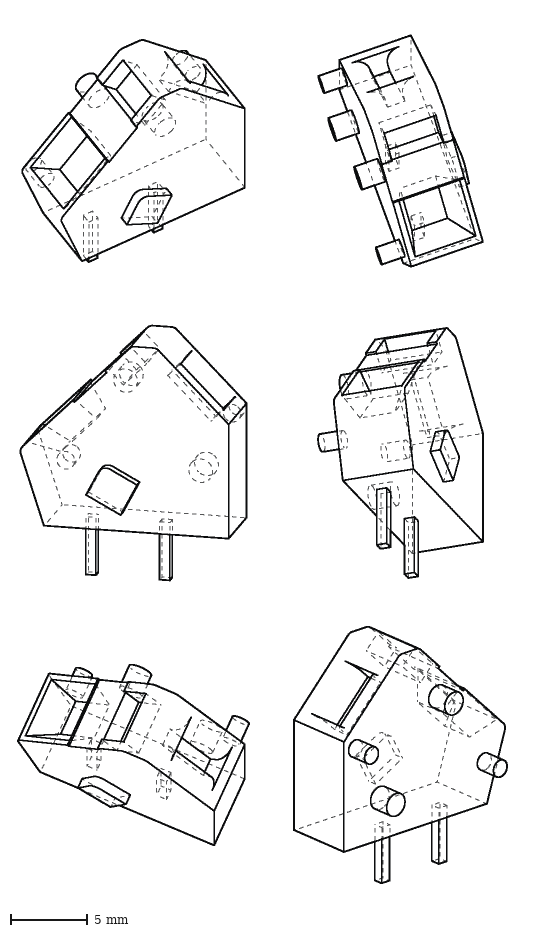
import cadquery as cq
import math

WIDTH = 5.0
HEIGHT = 12.72
DEPTH = 14.09
BACK_HEIGHT = 7.84
TOP_LENGTH = 1.67
FRONT_LEAN = math.radians(18)
EDGE_RADIUS = 0.5

BAND_START = 2.55
BAND_END = 5.63
BAND_DEPTH = 0.15

WINDOW_START = 0.33
WINDOW_LEFT = 0.72
WINDOW_WIDTH = 3.61
WINDOW_DEPTH = 1.5

FUNNEL_DEPTH = 2.0
FUNNEL_MOUTH = (0.42, 4.65, BAND_END, 10.11)
FUNNEL_FLOOR = (0.9, 3.38, 5.95, 9.34)

SLOT_START = 1.89
SLOT_END = 6.03
SLOT_DEPTH = 1.55
SLOT_CENTER = 2.3
SLOT_FLOOR_WIDTH = 1.22
SLOT_LIP_RADIUS = 1.0

PEG_LENGTH = 1.6
LARGE_PEG = 1.6
SMALL_PEG = 1.2
PEGS = [
    (8.2, 8.82, LARGE_PEG),
    (3.12, 3.0, LARGE_PEG),
    (1.0, 7.1, SMALL_PEG),
    (12.25, 3.07, SMALL_PEG),
]

BOSS_CORNER = (9.47, 2.54)
BOSS_TILT = 27.5
BOSS_LENGTH = 2.64
BOSS_HEIGHT = 2.4
BOSS_RADIUS = 0.57
BOSS_PROJECTION = 0.7

PIN_SIZE = 0.7
PIN_LENGTH = 16.71 - HEIGHT
PIN_X = 1.9
PIN_PITCH = 5.0
FIRST_PIN = 5.0

top_back = HEIGHT - BACK_HEIGHT
top_front = top_back + TOP_LENGTH
slope_sum = top_front + HEIGHT

nose_center_depth = DEPTH - EDGE_RADIUS
nose_center_height = slope_sum - EDGE_RADIUS * math.sqrt(2) - nose_center_depth
lean = math.tan(FRONT_LEAN)
bottom_front = (
    nose_center_depth + EDGE_RADIUS / math.cos(FRONT_LEAN) - nose_center_height * lean
)
nose_height = (slope_sum - bottom_front) / (1 + lean)

front_slope = cq.Plane(origin=(0, -top_front, HEIGHT), xDir=(1, 0, 0), normal=(0, -1, 1))
rear_slope = cq.Plane(origin=(0, -top_back, HEIGHT), xDir=(1, 0, 0), normal=(0, 1, 1))


def slope_box(plane, left, right, start, end, depth):
    """Box sunk into a slope; start and end are local Y positions."""
    return (
        cq.Workplane(plane)
        .moveTo((left + right) / 2, (start + end) / 2)
        .rect(right - left, abs(end - start))
        .extrude(-depth)
    )


def make_housing():
    corners = [
        (0, 0),
        (0, BACK_HEIGHT),
        (-top_back, HEIGHT),
        (-top_front, HEIGHT),
        (nose_height - slope_sum, nose_height),
        (-bottom_front, 0),
    ]
    housing = cq.Workplane("YZ").polyline(corners).close().extrude(WIDTH)
    for y, z in corners[2:5]:
        edge = cq.selectors.NearestToPointSelector((WIDTH / 2, y, z))
        housing = housing.edges("|X").edges(edge).fillet(EDGE_RADIUS)
    return housing


def make_funnel():
    def section(plane, bounds):
        left, right, upper, lower = bounds
        corners = [(left, -upper), (right, -upper), (right, -lower), (left, -lower)]
        points = [plane.toWorldCoords(corner) for corner in corners]
        return cq.Wire.makePolygon(points, close=True)

    floor_plane = cq.Plane(
        origin=front_slope.toWorldCoords((0, 0, -FUNNEL_DEPTH)),
        xDir=front_slope.xDir,
        normal=front_slope.zDir,
    )
    wires = [section(front_slope, FUNNEL_MOUTH), section(floor_plane, FUNNEL_FLOOR)]
    return cq.Workplane(cq.Solid.makeLoft(wires, True))


def make_slot():
    half_floor = SLOT_FLOOR_WIDTH / 2
    half_mouth = half_floor + SLOT_LIP_RADIUS
    lip_middle = SLOT_LIP_RADIUS * (1 - math.sqrt(0.5))
    section = cq.Plane(
        origin=rear_slope.toWorldCoords((SLOT_CENTER, SLOT_START, 0)),
        xDir=rear_slope.xDir,
        normal=rear_slope.yDir,
    )
    return (
        cq.Workplane(section)
        .moveTo(-half_mouth, 0)
        .threePointArc((-half_floor - lip_middle, lip_middle), (-half_floor, SLOT_LIP_RADIUS))
        .lineTo(-half_floor, SLOT_DEPTH)
        .lineTo(half_floor, SLOT_DEPTH)
        .lineTo(half_floor, SLOT_LIP_RADIUS)
        .threePointArc((half_floor + lip_middle, lip_middle), (half_mouth, 0))
        .close()
        .extrude(SLOT_END - SLOT_START)
    )


def make_boss():
    depth, height = BOSS_CORNER
    section = cq.Plane(origin=(WIDTH, -depth, height), xDir=(0, 1, 0), normal=(1, 0, 0))
    boss = (
        cq.Workplane(section)
        .rect(BOSS_LENGTH, BOSS_HEIGHT, centered=False)
        .extrude(BOSS_PROJECTION)
        .edges("<Y and >Z")
        .fillet(BOSS_RADIUS)
    )
    pivot = section.origin
    return boss.rotate(pivot, pivot + section.zDir, -BOSS_TILT)


result = make_housing()
result = result.cut(slope_box(front_slope, 0, WIDTH, -BAND_START, -BAND_END, BAND_DEPTH))
result = result.cut(
    slope_box(
        front_slope,
        WINDOW_LEFT,
        WINDOW_LEFT + WINDOW_WIDTH,
        -WINDOW_START,
        -BAND_START,
        WINDOW_DEPTH,
    )
)
result = result.cut(make_funnel())
result = result.cut(make_slot())

for depth, height, diameter in PEGS:
    peg = cq.Workplane("YZ").center(-depth, height).circle(diameter / 2).extrude(-PEG_LENGTH)
    result = result.union(peg)

result = result.union(make_boss())

for index in range(2):
    pin_depth = FIRST_PIN + index * PIN_PITCH
    pin = cq.Workplane("XY").center(PIN_X, -pin_depth).rect(PIN_SIZE, PIN_SIZE).extrude(-PIN_LENGTH)
    result = result.union(pin)